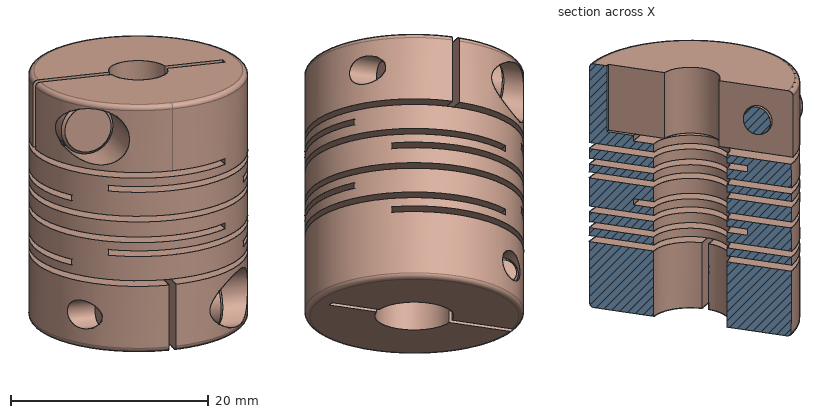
import cadquery as cq

HEIGHT = 26.5
BODY_RADIUS = 11.1
RIM_FILLET = 0.5
UPPER_BORE_RADIUS = 3.0
LOWER_BORE_RADIUS = 4.0

SLIT_THICKNESS = 0.6
SLIT_WALL = 6.23
SLIT_OFFSETS = [5.8, 4.3, 2.6, 1.1]

SLOT_WIDTH = 0.75
SLOT_END = 9.15

SCREW_OFFSET = 7.3
SCREW_HEIGHT = 3.6
SHANK_RADIUS = 1.5
SHANK_CHAMFER = 0.32
SHANK_LENGTH = 9.45
HEAD_RADIUS = 2.75
HEAD_TOP = 5.8
HEAD_HEIGHT = 3.0
HEAD_CHAMFER = 0.3
COUNTERBORE_RADIUS = 2.97

HEAD_SEAT = HEAD_TOP - HEAD_HEIGHT
UPPER_HUB_BASE = HEIGHT / 2 + SLIT_OFFSETS[0] + SLIT_THICKNESS / 2
HUB_HEIGHT = HEIGHT - UPPER_HUB_BASE


def make_body():
    """Filleted cylinder with a stepped bore, narrow in the upper hub."""
    body = cq.Workplane("XY").circle(BODY_RADIUS).extrude(HEIGHT)
    body = body.faces("<Z or >Z").edges().fillet(RIM_FILLET)
    upper_bore = cq.Workplane("XY").circle(UPPER_BORE_RADIUS).extrude(HEIGHT)
    lower_bore = cq.Workplane("XY").circle(LOWER_BORE_RADIUS).extrude(UPPER_HUB_BASE)
    return body.cut(upper_bore).cut(lower_bore)


def make_slit(z, bridge_angle):
    """Slit centred at height z whose bridge lies at bridge_angle around Z."""
    length = SLIT_WALL + BODY_RADIUS
    return (
        cq.Workplane("XY")
        .box(length, 2 * BODY_RADIUS, SLIT_THICKNESS)
        .translate((SLIT_WALL - length / 2, 0, z))
        .rotate((0, 0, 0), (0, 0, 1), bridge_angle)
    )


def along_x(radius, start, end):
    """Cylinder on the upper screw axis, from X = start to X = end."""
    return (
        cq.Workplane("YZ", origin=(start, -SCREW_OFFSET, HEIGHT - SCREW_HEIGHT))
        .circle(radius)
        .extrude(end - start)
    )


def upper_clamp_cut():
    """Clamp slot open towards -Y, with the screw hole and counterbore across it."""
    length = SLOT_END + BODY_RADIUS
    slot = (
        cq.Workplane("XY")
        .box(SLOT_WIDTH, length, HUB_HEIGHT)
        .translate((0, SLOT_END - length / 2, HEIGHT - HUB_HEIGHT / 2))
    )
    hole = along_x(SHANK_RADIUS, -BODY_RADIUS, HEAD_SEAT)
    counterbore = along_x(COUNTERBORE_RADIUS, HEAD_SEAT, BODY_RADIUS)
    return slot.union(hole).union(counterbore)


def upper_screw():
    """Cap screw with its head towards +X."""
    shank = along_x(SHANK_RADIUS, HEAD_SEAT - SHANK_LENGTH, HEAD_SEAT)
    shank = shank.faces("<X").edges().chamfer(SHANK_CHAMFER)
    head = along_x(HEAD_RADIUS, HEAD_SEAT, HEAD_TOP)
    head = head.faces(">X").edges().chamfer(HEAD_CHAMFER)
    return shank.union(head)


def to_lower_hub(shape):
    """Mirror across mid height, then a quarter turn about Z that carries +X to +Y."""
    mirrored = shape.mirror("XY", (0, 0, HEIGHT / 2))
    return mirrored.rotate((0, 0, 0), (0, 0, 1), 90)


result = make_body()

slit_heights = [HEIGHT / 2 + offset for offset in SLIT_OFFSETS]
slit_heights += [HEIGHT / 2 - offset for offset in reversed(SLIT_OFFSETS)]
bridge_angles = [90, 270, 0, 180] * 2
for slit_height, angle in zip(slit_heights, bridge_angles):
    result = result.cut(make_slit(slit_height, angle))

clamp_cut = upper_clamp_cut()
screw = upper_screw()
result = result.cut(clamp_cut).cut(to_lower_hub(clamp_cut))
result = result.union(screw).union(to_lower_hub(screw))